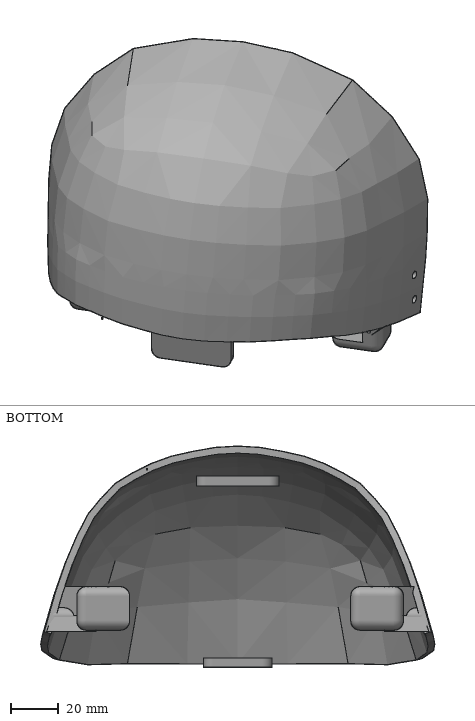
import cadquery as cq
import math


WALL = 3.0
LEAN_CHANGE_Y = -56.0

COARSE_OUTLINE = [
    (1, 0), (0.936, 0.225), (0.871, 0.40), (0.821, 0.54), (0.738, 0.675),
    (0.62, 0.79), (0.46, 0.903), (0.29, 0.958), (0.137, 0.99), (0, 1),
]
FINE_OUTLINE = [
    (1, 0), (0.94, 0.22), (0.885, 0.385), (0.832, 0.517), (0.774, 0.634), (0.711, 0.714), (0.632, 0.80),
    (0.545, 0.855), (0.45, 0.905), (0.345, 0.945), (0.23, 0.972), (0.115, 0.993), (0, 1),
]

SIDE_ROWS = [
    (COARSE_OUTLINE, 77.3, (-3.7, 79.8), (-74.6, 84.9), 0),
    (COARSE_OUTLINE, 82.0, (-7.0, 63.2), (-82.1, 71.3), 0),
    (COARSE_OUTLINE, 82.53, (-9.7, 48.1), (-86.7, 57.2), 0),
    (FINE_OUTLINE, 82.3, (-11.1, 37.0), (-88.6, 50.4), 1.0),
    (FINE_OUTLINE, 81.8, (-13.5, 25.1), (-91.0, 41.1), 1.8),
    (FINE_OUTLINE, 81.0, (-14.9, 12.6), (-92.66, 29.5), 3.2),
]

CROWN_LINES = [
    [(0, -2.1, 123.2), (0, -29.5, 117.1), (0, -47.0, 108.6)],
    [(21.7, -2.1, 121.3), (21.1, -28.0, 114.5), (20.6, -45.5, 106.7)],
    [(47.8, -2.1, 112.4), (43.4, -26.0, 108.3), (40.0, -42.5, 102.5)],
]
CROWN_ROW = [
    (65.0, -1.6, 97.0), (61.3, -23.3, 95.1), (56.0, -36.2, 94.3), (53.2, -45.8, 93.5),
    (45.1, -53.0, 93.2), (35.6, -57.5, 95.6), (20.4, -60.4, 98.4), (0, -61.2, 99.1),
]

BRACKET_SHIFT = 1.0
ROUND = 4.0
LEG_OUT = 68.4
LEG_WIDTH = 8.0
LEG_IN = LEG_OUT - LEG_WIDTH
MOUNT_IN = 52.3
TOE_X = 46.3
FOOT_BACK = -15.5
FOOT_FRONT = -33.8
LEG_BACK = -21.7
FOOT_TOP = 5.3
HEEL_TOP = 8.2
MOUNT_BOTTOM = 17.5
MOUNT_TOP = 40.0
SLOPE_START = (LEG_OUT - ROUND, 9.7)
SLOPE_END = (79.0, 22.4)
SLAB_BACK = (-14.9, 12.6)
SLAB_KNEE = (-21.0, 14.2)
WALL_REAR = (80.0, SLAB_BACK[0])
WALL_FRONT = (74.0, FOOT_FRONT)
BEYOND = 20.0

SCREW_D = 3.2
SCREW_Y = -19.7
SCREW_ZS = (21.4, 33.1)
SCREW_DEPTH = 15.0
PIN_HOLE_D = 1.4
PIN_HOLE_X = 63.0
PIN_HOLE_Z = 11.0
PIN_HOLE_DEPTH = 8.0

BROW_TAB_WIDTH = 34.6
BROW_TAB_Z = (11.2, 71.0)
BROW_TAB_FRONT = -80.0
REAR_TAB_WIDTH = 28.8
REAR_TAB_Z = (103.6, 120.8)
TAB_THICKNESS = 4.0

CHIP_SIZE = 0.5
CHIP_CENTER = (-38.0, -82.9, 28.0)


def side_row(outline, half_width, rear, front, bow):
    """Points of one row; the bow lifts the row between its ends and most toward the front."""
    points = []
    for across, along in outline:
        y = rear[0] + along * (front[0] - rear[0])
        z = rear[1] + along * (front[1] - rear[1]) + bow * math.sin(math.pi * along**3)
        points.append((across * half_width, y, z))
    return points


def stitch(upper, lower, lean_changes=False):
    """Triangles between two rows that run side by side, whatever their point counts.

    Each step takes the shorter diagonal, unless the lean of the diagonals is set by their place.
    """
    triangles = []
    i = 0
    j = 0
    while i < len(upper) - 1 or j < len(lower) - 1:
        a = upper[i]
        b = lower[j]
        can_step_upper = i < len(upper) - 1
        can_step_lower = j < len(lower) - 1
        if can_step_upper and can_step_lower and lean_changes:
            step_upper = i < j or (i == j and a[1] > LEAN_CHANGE_Y)
        elif can_step_upper and can_step_lower:
            step_upper = math.dist(upper[i + 1], b) <= math.dist(lower[j + 1], a)
        else:
            step_upper = can_step_upper
        if step_upper:
            i += 1
            triangles.append((b, a, upper[i]))
        else:
            j += 1
            triangles.append((b, a, lower[j]))
    return triangles


def half_dome():
    """Triangles of the dome's right half, all wound the same way around."""
    middle, inner, outer = CROWN_LINES
    front_middle = CROWN_ROW[-1]
    front_inner = CROWN_ROW[-2]
    front_outer = CROWN_ROW[-3]
    triangles = stitch(middle + [front_middle], inner + [front_inner])
    triangles += stitch(inner + [front_inner], outer + [front_outer])
    triangles += stitch(outer + [front_outer], CROWN_ROW[:-2])[:-1]
    rows = [CROWN_ROW] + [side_row(*row) for row in SIDE_ROWS]
    for upper, lower in zip(rows, rows[1:]):
        triangles += stitch(upper, lower, lean_changes=len(upper) == len(lower))
    return triangles


def mirrored(triangle):
    """The triangle on the other side of the middle plane, with the same side facing out."""
    return tuple((-x, y, z) for x, y, z in reversed(triangle))


def facing(triangle):
    a, b, c = (cq.Vector(*point) for point in triangle)
    return (b - a).cross(c - a)


def wall_inside(triangles):
    """Each outer point moved one wall thickness inward, along the mean facing of its triangles."""
    sums = {}
    for triangle in triangles:
        for point in triangle:
            sums[point] = sums.get(point, cq.Vector()) + facing(triangle).normalized()
    return {p: (cq.Vector(*p) - n.normalized() * WALL).toTuple() for p, n in sums.items()}


def open_edges(triangles):
    """Edges that belong to one triangle only, which are the dome's rim."""
    edges = {(t[k], t[(k + 1) % 3]) for t in triangles for k in range(3)}
    return [(a, b) for a, b in edges if (b, a) not in edges]


def flat_face(triangle):
    corners = [cq.Vector(*point) for point in triangle]
    return cq.Face.makeFromWires(cq.Wire.makePolygon(corners, close=True))


def dome():
    right = half_dome()
    outside = right + [mirrored(t) for t in right]
    inner_point = wall_inside(outside)
    skin = list(outside)
    for a, b, c in outside:
        skin.append((inner_point[c], inner_point[b], inner_point[a]))
    for a, b in open_edges(outside):
        skin.append((b, a, inner_point[a]))
        skin.append((b, inner_point[a], inner_point[b]))
    shell = cq.Shell.makeShell([flat_face(t) for t in skin])
    return cq.Workplane(obj=cq.Solid.makeSolid(shell).fix())


def block(x_range, y_range, z_range):
    size = [max(r) - min(r) for r in (x_range, y_range, z_range)]
    low = [min(r) for r in (x_range, y_range, z_range)]
    return cq.Workplane().box(*size, centered=False).translate(tuple(low))


def hook(round_toe):
    """Leg and foot; without a round toe, the lower edge of the foot's tip stays sharp."""
    depth = (FOOT_BACK, FOOT_FRONT)
    foot = block((TOE_X, LEG_OUT), depth, (0, FOOT_TOP))
    heel = block((LEG_IN, LEG_OUT), depth, (0, HEEL_TOP))
    leg = block((LEG_IN, LEG_OUT), (LEG_BACK, FOOT_FRONT), (0, MOUNT_TOP))
    upright = block((TOE_X, LEG_OUT), depth, (0, MOUNT_TOP)).edges("|Z").fillet(ROUND)
    tip = TOE_X if round_toe else TOE_X - BEYOND
    rounded = block((tip, LEG_OUT), depth, (0, MOUNT_TOP)).edges("|Z").fillet(ROUND)
    rounded = rounded.faces("<Z").edges().fillet(ROUND)
    return foot.union(heel).union(leg).intersect(upright).intersect(rounded)


def mount():
    """Block that joins the leg to the dome wall, with a slab behind the leg."""
    far = LEG_OUT + BEYOND
    outline = [
        (MOUNT_IN, MOUNT_TOP), (MOUNT_IN, MOUNT_BOTTOM), (LEG_IN, MOUNT_BOTTOM), (LEG_IN, SLOPE_START[1]),
        SLOPE_START, SLOPE_END, (far, SLOPE_END[1]), (far, MOUNT_TOP),
    ]
    front = cq.Workplane("XZ", origin=(0, FOOT_FRONT, 0)).polyline(outline).close()
    front = front.extrude(FOOT_FRONT - LEG_BACK)
    front = front.edges("|Z and <X and <Y").fillet(ROUND)
    slab_front = SLAB_KNEE[0] - ROUND
    bend = ROUND * math.sqrt(0.5)
    slab = (
        cq.Workplane("YZ", origin=(LEG_IN, 0, 0))
        .moveTo(*SLAB_BACK)
        .lineTo(*SLAB_KNEE)
        .threePointArc(
            (SLAB_KNEE[0] - bend, SLAB_KNEE[1] + ROUND - bend),
            (slab_front, SLAB_KNEE[1] + ROUND),
        )
        .lineTo(slab_front, MOUNT_TOP)
        .lineTo(SLAB_BACK[0], MOUNT_TOP)
        .close()
        .extrude(far - LEG_IN)
    )
    return front.union(slab)


def bracket(side, round_toe):
    """Whole bracket, on the right for side = 1 and on the left for side = -1."""
    body = hook(round_toe).union(mount())
    pin_hole = cq.Workplane("XZ", origin=(PIN_HOLE_X, FOOT_FRONT, PIN_HOLE_Z)).circle(PIN_HOLE_D / 2)
    body = body.cut(pin_hole.extrude(-PIN_HOLE_DEPTH))
    body = body.translate((side * BRACKET_SHIFT, 0, 0))
    reach = [WALL_REAR, WALL_FRONT, (0, WALL_FRONT[1]), (0, WALL_REAR[1])]
    within_wall = cq.Workplane().polyline(reach).close().extrude(MOUNT_TOP)
    below_rim = block((0, LEG_OUT + BRACKET_SHIFT), (FOOT_FRONT, 0), (0, SLAB_BACK[1]))
    body = body.intersect(within_wall.union(below_rim))
    return body if side > 0 else body.mirror("YZ")


def tab(width, z_range, front):
    """Upright plate with rounded lower corners."""
    plate = block((-width / 2, width / 2), (front, front + TAB_THICKNESS), z_range)
    return plate.edges("|Y and <Z").fillet(ROUND)


def screw_holes():
    """Holes through the dome wall into both mounts."""
    centers = [(SCREW_Y, z) for z in SCREW_ZS]
    start = WALL_REAR[0] - SCREW_DEPTH
    right = cq.Workplane("YZ", origin=(start, 0, 0)).pushPoints(centers).circle(SCREW_D / 2)
    right = right.extrude(SCREW_DEPTH + BEYOND)
    return right.union(right.mirror("YZ"))


helmet = dome()
helmet = helmet.union(bracket(1, round_toe=True)).union(bracket(-1, round_toe=False))
helmet = helmet.union(tab(BROW_TAB_WIDTH, BROW_TAB_Z, BROW_TAB_FRONT))
helmet = helmet.union(tab(REAR_TAB_WIDTH, REAR_TAB_Z, -TAB_THICKNESS))
helmet = helmet.cut(screw_holes())

chip = cq.Workplane().box(CHIP_SIZE, CHIP_SIZE, CHIP_SIZE).translate(CHIP_CENTER)

result = cq.Compound.makeCompound([*helmet.vals(), chip.val()])